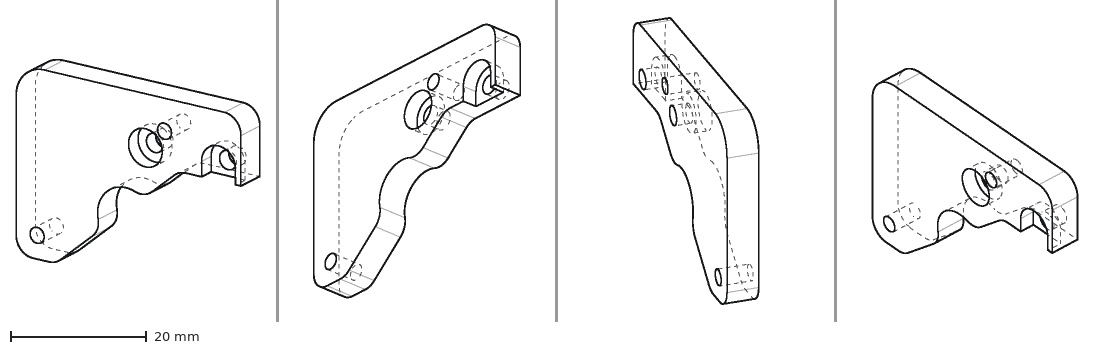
import cadquery as cq
import math

length = 40.0
thickness = 5.0
height = 30.0

foot_width = 7.0
arm_underside_z = 19.0
slope_end_x = 29.0

notch_x = 19.5
notch_z = 9.5
notch_radius = 5.0

upper_left_radius = 5.0
corner_radius = 3.0

small_hole_diameter = 2.5
small_hole_centers = [(3.75, 3.75), (26.4, 24.8)]

screw_hole_diameter = 3.0
head_diameter = 6.0
head_depth = 2.5
screw_z = 21.5
inner_screw_x = 23.0
outer_screw_x = 36.0


def front_plane():
    """Workplane on the -Y face; negative extrusions go toward +Y."""
    return cq.Workplane("XZ")


def notch_corners():
    """Points where the notch circle crosses the sloping edge."""
    run = slope_end_x - foot_width
    slope_length = math.hypot(run, arm_underside_z)
    dir_x = run / slope_length
    dir_z = arm_underside_z / slope_length
    along = (notch_x - foot_width) * dir_x + notch_z * dir_z
    offset = (notch_x - foot_width) * dir_z - notch_z * dir_x
    half_chord = math.sqrt(notch_radius**2 - offset**2)
    return [
        (foot_width + distance * dir_x, distance * dir_z)
        for distance in (along - half_chord, along + half_chord)
    ]


def round_corner(body, corner, radius):
    """Fillet the edge along Y that passes through the (x, z) corner."""
    x, z = corner
    selector = cq.selectors.NearestToPointSelector((x, thickness / 2, z))
    return body.edges("|Y").edges(selector).fillet(radius)


def make_plate():
    """Plate with a sloping lower edge, a round notch and rounded corners."""
    outline = [
        (0, 0),
        (foot_width, 0),
        (slope_end_x, arm_underside_z),
        (length, arm_underside_z),
        (length, height),
        (0, height),
    ]
    plate = front_plane().polyline(outline).close().extrude(-thickness)
    notch = front_plane().center(notch_x, notch_z).circle(notch_radius).extrude(-thickness)
    plate = plate.cut(notch)

    corners = [
        (0, 0),
        (foot_width, 0),
        (slope_end_x, arm_underside_z),
        (length, height),
        *notch_corners(),
    ]
    for corner in corners:
        plate = round_corner(plate, corner, corner_radius)
    return round_corner(plate, (0, height), upper_left_radius)


def through_holes(centers, diameter):
    """Cylinders through the full thickness."""
    return front_plane().pushPoints(centers).circle(diameter / 2).extrude(-thickness)


def inner_head_recess():
    """Round counterbore."""
    return front_plane().center(inner_screw_x, screw_z).circle(head_diameter / 2).extrude(-head_depth)


def outer_head_recess():
    """Round-topped recess, open at the underside of the arm."""
    left = outer_screw_x - head_diameter / 2
    right = outer_screw_x + head_diameter / 2
    return (
        front_plane()
        .moveTo(left, arm_underside_z)
        .lineTo(right, arm_underside_z)
        .lineTo(right, screw_z)
        .threePointArc((outer_screw_x, screw_z + head_diameter / 2), (left, screw_z))
        .close()
        .extrude(-head_depth)
    )


screw_centers = [(inner_screw_x, screw_z), (outer_screw_x, screw_z)]

result = (
    make_plate()
    .cut(through_holes(small_hole_centers, small_hole_diameter))
    .cut(through_holes(screw_centers, screw_hole_diameter))
    .cut(inner_head_recess())
    .cut(outer_head_recess())
)